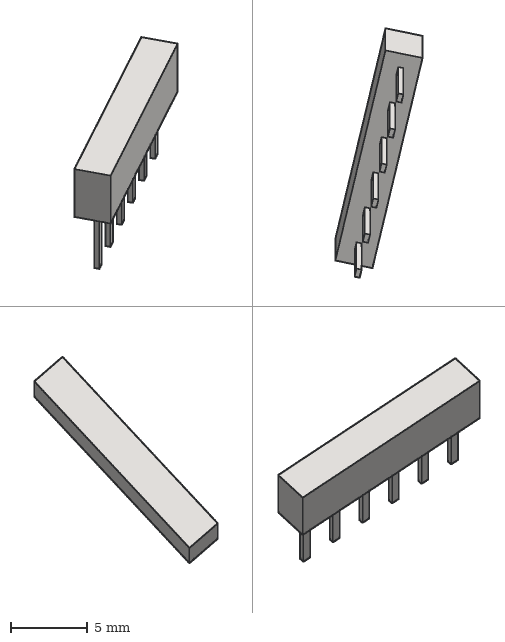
import cadquery as cq

housing_width = 2.5
housing_length = 15.24
overall_height = 8.55

pin_count = 6
pin_pitch = housing_length / pin_count
pin_thickness = 0.35
pin_width = 0.6
pin_length = 4.63

housing_height = overall_height - pin_length


def make_housing():
    return cq.Workplane("XY").rect(housing_width, housing_length).extrude(housing_height)


def make_pin(y):
    return cq.Workplane("XY").center(0, y).rect(pin_thickness, pin_width).extrude(-pin_length)


housing = make_housing()

first_pin_y = -pin_pitch * (pin_count - 1) / 2
pins = []
for index in range(pin_count):
    pins.append(make_pin(first_pin_y + index * pin_pitch))

result = cq.Compound.makeCompound([housing.val(), *[pin.val() for pin in pins]])